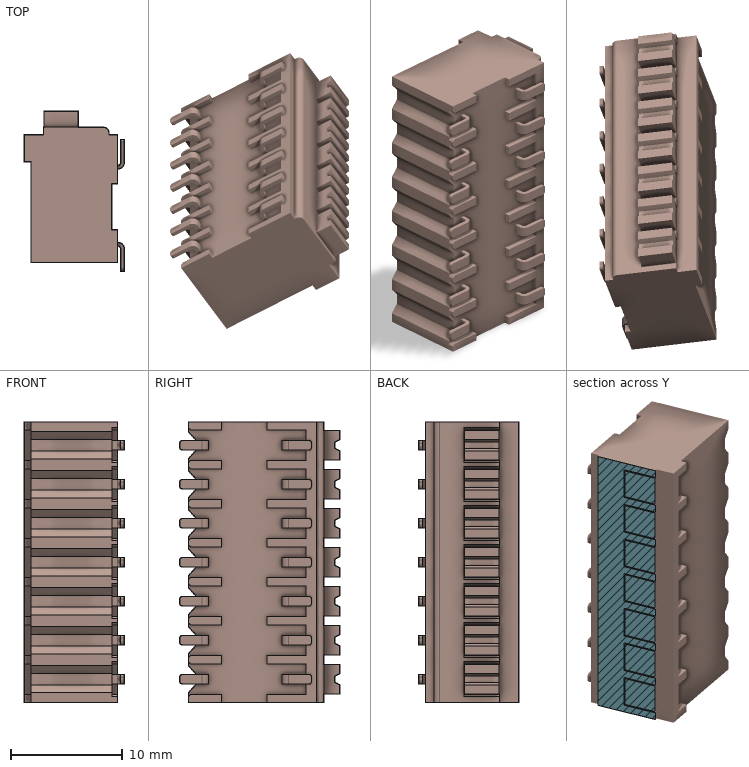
import cadquery as cq

POLE_COUNT = 7
PITCH = 3.5
END_WALL = 0.35
HEIGHT = POLE_COUNT * PITCH + 2 * END_WALL
FIRST_POLE_Z = END_WALL + PITCH / 2

HOUSING_WIDTH = 8.4
FLANGE_DEPTH = 0.6
FOOT_DEPTH = 0.52
CORE_RIGHT = HOUSING_WIDTH - FOOT_DEPTH
SHOULDER_Y = 11.5
REAR_Y = 12.16
FLANGE_FRONT_Y = 9.05
FLANGE_BAND = 0.95
FRONT_FOOT_END_Y = 2.96
REAR_FOOT_START_Y = 7.08
REAR_BLOCK_LEFT = 1.72
REAR_BLOCK_RIGHT = 7.63
REAR_CORNER_RADIUS = 0.5

POCKET_HEIGHT = 2.74
RIB_CHAMFER = 0.2
GROOVE_FLOOR = 1.03
GROOVE_MOUTH = 2.43
GROOVE_DEPTH = 0.63

ACTUATOR_CLEARANCE = 0.06
ACTUATOR_LEFT = REAR_BLOCK_LEFT + ACTUATOR_CLEARANCE
ACTUATOR_WIDTH = 3.1
ACTUATOR_HEIGHT = 2.66
ACTUATOR_REAR_Y = 13.6
NOTCH_MOUTH = 1.0
NOTCH_FLOOR = 0.55
NOTCH_DEPTH = 0.45

PIN_TIP_X = 9.0
PIN_THICKNESS = 0.34
PIN_WIDTH = 0.86
PIN_TIP_RADIUS = 0.25
PIN_BEND_RADIUS = PIN_TIP_X - HOUSING_WIDTH
FRONT_PIN_Y = 1.83
FRONT_PIN_TIP_Y = -0.78
REAR_PIN_Y = 8.39
REAR_PIN_TIP_Y = 11.06


def block(x_range, y_range, z_center, height):
    """Box between two X limits and two Y limits, centred on z_center."""
    return (
        cq.Workplane("XY", origin=(0, 0, z_center - height / 2))
        .moveTo(x_range[0], y_range[0])
        .lineTo(x_range[1], y_range[0])
        .lineTo(x_range[1], y_range[1])
        .lineTo(x_range[0], y_range[1])
        .close()
        .extrude(height)
    )


def tapered_channel(x_range, y_floor, y_mouth, z_center, floor_height, mouth_height):
    """Channel along X whose height changes evenly from its floor to its mouth."""
    return (
        cq.Workplane("YZ", origin=(x_range[0], 0, z_center))
        .moveTo(y_floor, -floor_height / 2)
        .lineTo(y_floor, floor_height / 2)
        .lineTo(y_mouth, mouth_height / 2)
        .lineTo(y_mouth, -mouth_height / 2)
        .close()
        .extrude(x_range[1] - x_range[0])
    )


def housing_blank():
    """Housing outline carried over the full height, before the poles are cut."""
    return (
        cq.Workplane("XY")
        .moveTo(FLANGE_DEPTH, 0)
        .lineTo(HOUSING_WIDTH, 0)
        .lineTo(HOUSING_WIDTH, FRONT_FOOT_END_Y)
        .lineTo(CORE_RIGHT, FRONT_FOOT_END_Y)
        .lineTo(CORE_RIGHT, REAR_FOOT_START_Y)
        .lineTo(HOUSING_WIDTH, REAR_FOOT_START_Y)
        .lineTo(HOUSING_WIDTH, SHOULDER_Y)
        .lineTo(REAR_BLOCK_RIGHT, SHOULDER_Y)
        .lineTo(REAR_BLOCK_RIGHT, REAR_Y - REAR_CORNER_RADIUS)
        .radiusArc((REAR_BLOCK_RIGHT - REAR_CORNER_RADIUS, REAR_Y), -REAR_CORNER_RADIUS)
        .lineTo(REAR_BLOCK_LEFT, REAR_Y)
        .lineTo(REAR_BLOCK_LEFT, SHOULDER_Y)
        .lineTo(0, SHOULDER_Y)
        .lineTo(0, FLANGE_FRONT_Y)
        .lineTo(FLANGE_DEPTH, FLANGE_FRONT_Y)
        .close()
        .extrude(HEIGHT)
    )


def side_pockets(z):
    """Pockets that break the flange and the feet into ribs."""
    band_front_y = SHOULDER_Y - FLANGE_BAND
    foot_x = (CORE_RIGHT, HOUSING_WIDTH)
    flange_pocket = block((0, FLANGE_DEPTH), (FLANGE_FRONT_Y, band_front_y), z, POCKET_HEIGHT)
    rear_foot_pocket = block(foot_x, (REAR_FOOT_START_Y, band_front_y), z, POCKET_HEIGHT)
    front_foot_pocket = block(foot_x, (0, FRONT_FOOT_END_Y), z, POCKET_HEIGHT)
    rib_chamfers = tapered_channel(
        foot_x, RIB_CHAMFER, 0, z, POCKET_HEIGHT, POCKET_HEIGHT + 2 * RIB_CHAMFER
    )
    return flange_pocket.union(rear_foot_pocket).union(front_foot_pocket).union(rib_chamfers)


def front_groove(z):
    """V-sided groove with a flat floor across the front of the core."""
    return tapered_channel(
        (FLANGE_DEPTH, CORE_RIGHT), GROOVE_DEPTH, 0, z, GROOVE_FLOOR, GROOVE_MOUTH
    )


def actuator_slot(z):
    """Chamfered slot in the rear block, open on the -X side."""
    slot_x = (REAR_BLOCK_LEFT, ACTUATOR_LEFT + ACTUATOR_WIDTH + ACTUATOR_CLEARANCE)
    slot = block(slot_x, (SHOULDER_Y, REAR_Y), z, POCKET_HEIGHT)
    rib_chamfers = tapered_channel(
        slot_x, REAR_Y - RIB_CHAMFER, REAR_Y, z, POCKET_HEIGHT, POCKET_HEIGHT + 2 * RIB_CHAMFER
    )
    return slot.union(rib_chamfers)


def actuator(z):
    """Release actuator standing on the shoulder, notched across its rear end."""
    actuator_x = (ACTUATOR_LEFT, ACTUATOR_LEFT + ACTUATOR_WIDTH)
    body = block(actuator_x, (SHOULDER_Y, ACTUATOR_REAR_Y), z, ACTUATOR_HEIGHT)
    notch = tapered_channel(
        actuator_x, ACTUATOR_REAR_Y - NOTCH_DEPTH, ACTUATOR_REAR_Y, z, NOTCH_FLOOR, NOTCH_MOUTH
    )
    return body.cut(notch)


def solder_pin(z, root_y, tip_y):
    """Pin that leaves the core along X and bends along Y towards tip_y."""
    toward_tip = 1 if tip_y > root_y else -1
    inner_radius = PIN_BEND_RADIUS - PIN_THICKNESS
    inner_x = PIN_TIP_X - PIN_THICKNESS
    inner_root_y = root_y + toward_tip * PIN_THICKNESS
    bend_end_y = root_y + toward_tip * PIN_BEND_RADIUS
    return (
        cq.Workplane("XY", origin=(0, 0, z - PIN_WIDTH / 2))
        .moveTo(CORE_RIGHT, root_y)
        .lineTo(HOUSING_WIDTH, root_y)
        .radiusArc((PIN_TIP_X, bend_end_y), -toward_tip * PIN_BEND_RADIUS)
        .lineTo(PIN_TIP_X, tip_y)
        .lineTo(inner_x, tip_y)
        .lineTo(inner_x, bend_end_y)
        .radiusArc((HOUSING_WIDTH, inner_root_y), toward_tip * inner_radius)
        .lineTo(CORE_RIGHT, inner_root_y)
        .close()
        .extrude(PIN_WIDTH)
        .faces(">Y" if toward_tip > 0 else "<Y")
        .edges("|X")
        .fillet(PIN_TIP_RADIUS)
    )


result = housing_blank()
for pole in range(POLE_COUNT):
    pole_z = FIRST_POLE_Z + pole * PITCH
    result = result.cut(side_pockets(pole_z))
    result = result.cut(front_groove(pole_z))
    result = result.cut(actuator_slot(pole_z))
    result = result.union(actuator(pole_z))
    result = result.union(solder_pin(pole_z, FRONT_PIN_Y, FRONT_PIN_TIP_Y))
    result = result.union(solder_pin(pole_z, REAR_PIN_Y, REAR_PIN_TIP_Y))